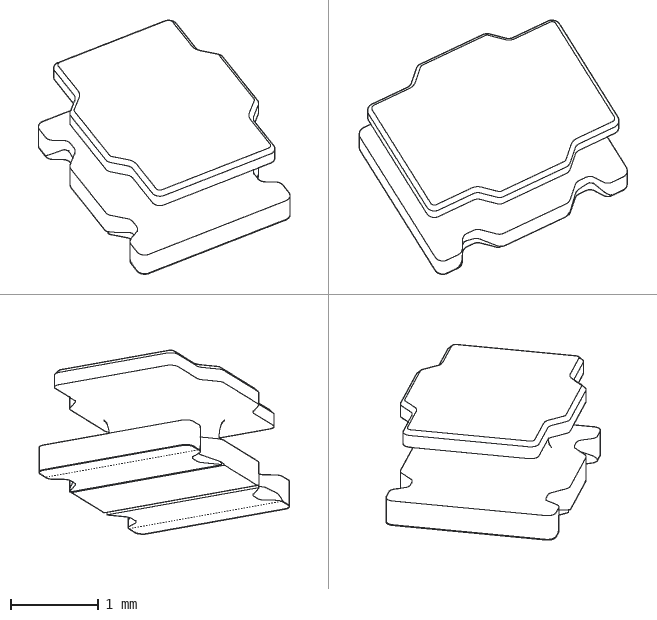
import cadquery as cq
import math

length = 2.5
width = 2.0
half_length = length / 2
half_width = width / 2

terminal_thickness = 0.01
base_thickness = 0.3
winding_gap = 0.7
lid_thickness = 0.2
base_bottom = terminal_thickness
base_top = base_bottom + base_thickness
lid_bottom = base_top + winding_gap

notch_depth = 0.2
notch_floor = half_width - notch_depth
tongue_half_length = 0.45
tongue_foot = tongue_half_length + notch_depth
lobe_tip = 0.95
lobe_angle = math.radians(60)
lobe_foot = lobe_tip - notch_depth / math.tan(lobe_angle)
corner_radius = 0.1
lid_chamfer = 0.05

waist_radius = 0.63
waist_arc_radius = 0.45
blend_radius = 0.3

groove_outer_foot = 1.01
groove_roof_outer = 0.86
groove_roof_inner = 0.82
groove_inner_foot = 0.395
groove_roof = 0.16


def mirrored_outline(quarter):
    """Closed outline from its +X +Y quarter, listed from the middle towards the X end."""
    right = quarter + [(x, -y) for x, y in reversed(quarter)]
    return right + [(-x, y) for x, y in reversed(right)]


def plate(quarter, bottom, thickness):
    """Flat plate with every upright corner rounded."""
    blank = cq.Workplane("XY").workplane(offset=bottom).polyline(mirrored_outline(quarter)).close()
    return blank.extrude(thickness).edges("|Z").fillet(corner_radius)


def base_plate(bottom, thickness):
    quarter = [
        (tongue_half_length, half_width),
        (tongue_foot, notch_floor),
        (lobe_foot, notch_floor),
        (lobe_tip, half_width),
        (half_length, half_width),
    ]
    return plate(quarter, bottom, thickness)


def lid_plate():
    quarter = [
        (tongue_half_length, half_width),
        (tongue_foot, notch_floor),
        (half_length, notch_floor),
    ]
    return plate(quarter, lid_bottom, lid_thickness).faces(">Z").chamfer(lid_chamfer)


def neck():
    """Revolved hourglass whose blend arcs meet both flanges tangentially."""
    middle = base_top + winding_gap / 2
    waist_centre = waist_radius + waist_arc_radius

    centre_distance = waist_arc_radius - blend_radius
    centre_rise = winding_gap / 2 - blend_radius
    centre_shift = math.sqrt(centre_distance**2 - centre_rise**2)
    rim_radius = waist_centre - centre_shift

    join_angle = math.asin(centre_rise / centre_distance)
    join_radius = waist_centre - waist_arc_radius * math.cos(join_angle)
    join_rise = waist_arc_radius * math.sin(join_angle)

    mid_angle = (join_angle + math.pi / 2) / 2
    blend_mid_radius = rim_radius - blend_radius * math.cos(mid_angle)
    blend_mid_rise = centre_rise + blend_radius * math.sin(mid_angle)

    profile = (
        cq.Workplane("XZ")
        .moveTo(0, base_top)
        .lineTo(rim_radius, base_top)
        .threePointArc((blend_mid_radius, middle - blend_mid_rise), (join_radius, middle - join_rise))
        .threePointArc((waist_radius, middle), (join_radius, middle + join_rise))
        .threePointArc((blend_mid_radius, middle + blend_mid_rise), (rim_radius, lid_bottom))
        .lineTo(0, lid_bottom)
        .close()
    )
    return profile.revolve(360, (0, 0), (0, 1))


def groove_wedge(side):
    """Full-width prism of a wire groove; side is -1 or 1 for the X end it lies on."""
    section = [
        (side * groove_outer_foot, base_bottom),
        (side * groove_roof_outer, groove_roof),
        (side * groove_roof_inner, groove_roof),
        (side * groove_inner_foot, base_bottom),
    ]
    return cq.Workplane("XZ").polyline(section).close().extrude(half_width, both=True)


def make_core():
    """Drum core: base, neck and lid in one piece, with a wire groove at each end."""
    core = base_plate(base_bottom, base_thickness).union(neck()).union(lid_plate())
    for side in (-1, 1):
        core = core.cut(groove_wedge(side))
    return core.solids().val()


def make_terminal(side):
    """Terminal: a thin pad under the base, with a wedge that fills the groove above it."""
    pad_length = half_length - tongue_half_length
    pad_middle = side * (half_length + tongue_half_length) / 2
    end_block = (
        cq.Workplane("XY")
        .center(pad_middle, 0)
        .rect(pad_length, width)
        .extrude(base_top)
    )
    pad = base_plate(0, terminal_thickness)
    wedge = groove_wedge(side).intersect(base_plate(base_bottom, base_thickness))
    return pad.union(wedge).intersect(end_block).solids().val()


core = make_core()
terminals = [make_terminal(side) for side in (-1, 1)]

result = cq.Compound.makeCompound([core, *terminals])